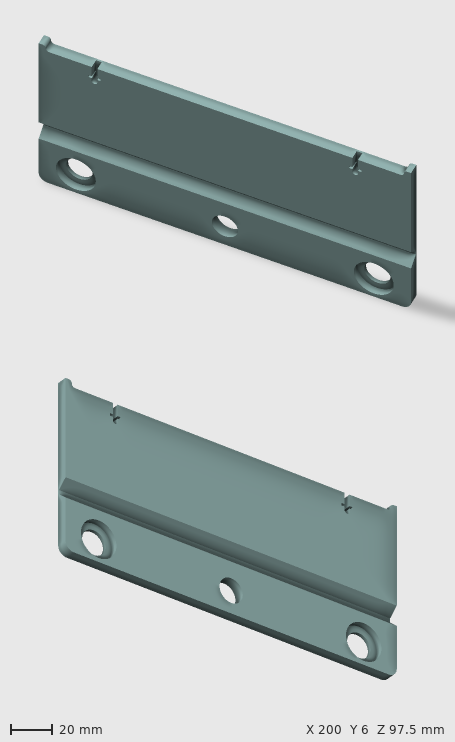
import cadquery as cq
import math

length = 200.0
thickness = 6.0
height = 97.5
corner_radius = 5.0

ear_width = 3.8
ear_height = 3.8
ear_radius = ear_height / 2

groove_center_z = 35.2
groove_mouth = 11.5
groove_floor = 2.5
groove_web = 0.5

hole_diameter = 14.0
hole_z = 13.0
hole_inset = 20.0
counterbore_diameter = 21.5
counterbore_depth = 4.0

slot_inset = 30.0
slot_width = 3.0
slot_depth = 5.0
slot_bottom_z = height - 15.2
cross_length = 6.5
cross_height = 1.5
cross_z = height - 11.0

shelf_z = height - ear_height


def front_cut(outline, depth):
    """Extrude an outline on the front face into the plate."""
    return outline.extrude(-depth)


def front_plane():
    return cq.Workplane("XZ")


def make_top_recess_half(side):
    """Half of the top recess, its end wall formed by two quarter rounds stacked into an S-curve."""
    wall_x = length / 2 - ear_width
    middle_z = shelf_z + ear_radius
    bend = ear_radius * math.sqrt(0.5)
    outer_x = wall_x - ear_radius
    return (
        front_plane()
        .moveTo(0, shelf_z)
        .lineTo(side * outer_x, shelf_z)
        .threePointArc((side * (outer_x + bend), middle_z - bend), (side * wall_x, middle_z))
        .threePointArc(
            (side * (wall_x + ear_radius - bend), middle_z + bend),
            (side * (wall_x + ear_radius), height),
        )
        .lineTo(0, height)
        .close()
        .extrude(-thickness)
    )


def make_plate():
    """Plate outline with rounded lower corners and a lowered top edge."""
    plate = front_plane().rect(length, height, centered=(True, False)).extrude(-thickness)
    plate = plate.edges("|Y and <Z").fillet(corner_radius)
    for side in (-1, 1):
        plate = plate.cut(make_top_recess_half(side))
    return plate


def make_groove():
    """Symmetric groove running the full length of the plate."""
    floor_y = thickness - groove_web
    return (
        cq.Workplane("YZ", origin=(-length / 2, 0, groove_center_z))
        .moveTo(0, -groove_mouth / 2)
        .lineTo(floor_y, -groove_floor / 2)
        .lineTo(floor_y, groove_floor / 2)
        .lineTo(0, groove_mouth / 2)
        .close()
        .extrude(length)
    )


def make_slot(x):
    """Round-bottomed slot with a short crossbar."""
    radius = slot_width / 2
    arc_z = slot_bottom_z + radius
    slot = front_cut(
        front_plane()
        .moveTo(x - radius, height)
        .lineTo(x - radius, arc_z)
        .threePointArc((x, slot_bottom_z), (x + radius, arc_z))
        .lineTo(x + radius, height)
        .close(),
        slot_depth,
    )
    crossbar = front_cut(front_plane().center(x, cross_z).rect(cross_length, cross_height), slot_depth)
    return slot.union(crossbar)


hole_x = length / 2 - hole_inset
slot_x = length / 2 - slot_inset

result = make_plate().cut(make_groove())

for x in (-hole_x, 0, hole_x):
    hole = front_plane().center(x, hole_z).circle(hole_diameter / 2)
    result = result.cut(front_cut(hole, thickness))

for x in (-hole_x, hole_x):
    counterbore = front_plane().center(x, hole_z).circle(counterbore_diameter / 2)
    result = result.cut(front_cut(counterbore, counterbore_depth))

for x in (-slot_x, slot_x):
    result = result.cut(make_slot(x))